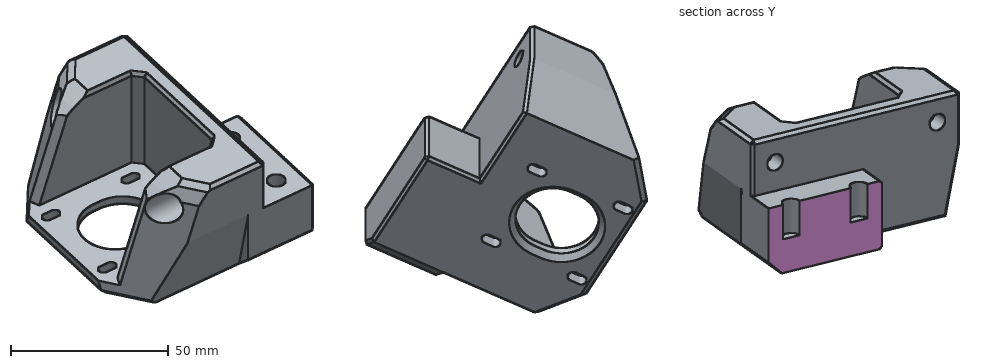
import cadquery as cq
import math

WIDTH = 77.0
DEPTH = 70.5
HEIGHT = 43.0
HALF_WIDTH = WIDTH / 2
FAR = 154.0

HOUSING_DEPTH = 51.3
TAPER_HEIGHT = 24.0
TAPER_INSET = 5.0
EDGE_CHAMFER = 1.0
TOP_CHAMFER_WIDTH = 1.55
BOTTOM_BEVEL = 2.0

CORNER_SLOPE = 0.75
CORNER_BASE = (12.85, 0)
CORNER_SHOULDER = (25.4, 37.4)
CORNER_BROW = (28.8, 41.5)
CORNER_TOP = (31.95, HEIGHT)
CORNER_LEAN = (CORNER_SHOULDER[0] - CORNER_BASE[0]) / (CORNER_SHOULDER[1] - CORNER_BASE[1])
BROW_TOP = (25.2, HEIGHT)
BROW_KINK = (18.9, 39.1)
BROW_END = (14.7, 36.1)

BASE_THICKNESS = 5.0
POCKET_HALF_WIDTH = 21.5
POCKET_BACK = 44.6
POCKET_CORNER = 3.0
FLARE_WIDTH = 0.9
FLARE_HEIGHT = 1.5
WALL_BEVEL_Y = 5.7
WALL_BEVEL_SLOPE = 0.41
WALL_BEVEL_KINK_Z = 37.2
WALL_BEVEL_TOP_LEAN = 1.1

MOTOR_Y = 21.5
MOTOR_PITCH = 30.95
MOTOR_SLOT_WIDTH = 3.4
MOTOR_OPENING_DIAMETER = 23.9
MOTOR_TRAVEL = 3.0

MOUNT_X = 29.95
MOUNT_Z = 34.0
MOUNT_DIAMETER = 5.7
COUNTERBORE_DIAMETER = 10.0
COUNTERBORE_FLOOR_Y = POCKET_BACK

BLOCK_LEFT = -3.55
BLOCK_HEIGHT = TAPER_HEIGHT
BLOCK_SIDE_BEVEL = 5.0
BLOCK_HOLE_DIAMETER = 6.0
BLOCK_HOLE_DEPTH = 12.0
BLOCK_HOLE_XS = (5.0, 30.0)
BLOCK_HOLE_Y = 61.5


def half_space(point, normal):
    """Large solid lying on the side of a plane that its normal points to."""
    return cq.Workplane(cq.Plane(origin=point, normal=normal)).rect(FAR, FAR).extrude(FAR)


def face_cutter(start, end, slope=0.0, side=1):
    """Material in front of the face through two (y, z) points at x = side * HALF_WIDTH.

    The face also runs back by `slope` for each unit away from the centre plane.
    """
    lean = (end[0] - start[0]) / (end[1] - start[1])
    return half_space((side * HALF_WIDTH, start[0], start[1]), (side * slope, -1, lean))


def make_housing():
    top_chamfer_z = HEIGHT - EDGE_CHAMFER
    section = [
        (HALF_WIDTH - TAPER_INSET, 0),
        (HALF_WIDTH, TAPER_HEIGHT),
        (HALF_WIDTH, top_chamfer_z),
        (HALF_WIDTH - TOP_CHAMFER_WIDTH, HEIGHT),
    ]
    section += [(-x, z) for x, z in reversed(section)]
    body = cq.Workplane("XZ").polyline(section).close().extrude(-HOUSING_DEPTH)

    profile = [
        (BOTTOM_BEVEL, 0),
        (0, BOTTOM_BEVEL),
        (0, HEIGHT),
        (HOUSING_DEPTH - TOP_CHAMFER_WIDTH, HEIGHT),
        (HOUSING_DEPTH, top_chamfer_z),
        (HOUSING_DEPTH, EDGE_CHAMFER),
        (HOUSING_DEPTH - EDGE_CHAMFER, 0),
    ]
    body = body.intersect(cq.Workplane("YZ").polyline(profile).close().extrude(HALF_WIDTH, both=True))

    for side in (-1, 1):
        rear_corner = (side * HALF_WIDTH, HOUSING_DEPTH - EDGE_CHAMFER, TAPER_HEIGHT)
        body = body.cut(half_space(rear_corner, (side, 1, 0)))
        body = body.cut(half_space(rear_corner, (side, 1, -TAPER_INSET / TAPER_HEIGHT)))
        top_corner = (side * HALF_WIDTH, HOUSING_DEPTH - EDGE_CHAMFER, top_chamfer_z)
        facet_lean = (2 * TOP_CHAMFER_WIDTH - EDGE_CHAMFER) / EDGE_CHAMFER
        body = body.cut(half_space(top_corner, (side, 1, facet_lean)))
    return body


def cut_front_corners(body):
    bevel_top_y = CORNER_BASE[0] + CORNER_LEAN * BOTTOM_BEVEL
    bevel_top = (bevel_top_y, BOTTOM_BEVEL)
    bevel_bottom = (bevel_top_y + BOTTOM_BEVEL, 0)
    corner = [bevel_bottom, bevel_top, CORNER_SHOULDER, CORNER_BROW, CORNER_TOP]
    for side in (-1, 1):
        for start, end in zip(corner, corner[1:]):
            body = body.cut(face_cutter(start, end, CORNER_SLOPE, side))
    for start, end in ((BROW_END, BROW_KINK), (BROW_KINK, BROW_TOP)):
        body = body.cut(face_cutter(start, end))
    return body


def cut_pocket(body):
    side_end = POCKET_BACK - POCKET_CORNER
    outline = [
        (POCKET_HALF_WIDTH, -FAR),
        (POCKET_HALF_WIDTH, side_end),
        (POCKET_HALF_WIDTH - POCKET_CORNER, POCKET_BACK),
    ]
    outline += [(-x, y) for x, y in reversed(outline)]
    flare_z = HEIGHT - FLARE_HEIGHT
    flare_angle = math.degrees(math.atan2(FLARE_WIDTH, FLARE_HEIGHT))
    room = cq.Workplane("XY", origin=(0, 0, BASE_THICKNESS)).polyline(outline).close().extrude(HEIGHT)
    flare = (
        cq.Workplane("XY", origin=(0, 0, flare_z))
        .polyline(outline)
        .close()
        .extrude(FLARE_HEIGHT, taper=-flare_angle)
    )
    return body.cut(room).cut(flare)


def bevel_wall_edges(body):
    kink_y = WALL_BEVEL_Y + CORNER_LEAN * (WALL_BEVEL_KINK_Z - BASE_THICKNESS)
    for side in (-1, 1):
        wall_zone = cq.Workplane("XY", origin=(side * HALF_WIDTH / 2, 0, BASE_THICKNESS))
        wall_zone = wall_zone.box(HALF_WIDTH, FAR, HEIGHT, centered=(True, True, False))
        kink = (side * POCKET_HALF_WIDTH, kink_y, WALL_BEVEL_KINK_Z)
        for lean in (CORNER_LEAN, WALL_BEVEL_TOP_LEAN):
            bevel = half_space(kink, (-side * WALL_BEVEL_SLOPE, -1, lean))
            body = body.cut(bevel.intersect(wall_zone))
    return body


def cut_motor_openings(body):
    lead_in_diameter = MOTOR_OPENING_DIAMETER + 2 * BOTTOM_BEVEL
    plate = cq.Workplane("XY", origin=(0, MOTOR_Y, 0))
    slots = (
        plate.rect(MOTOR_PITCH, MOTOR_PITCH, forConstruction=True)
        .vertices()
        .slot2D(MOTOR_SLOT_WIDTH + MOTOR_TRAVEL, MOTOR_SLOT_WIDTH, 90)
        .extrude(BASE_THICKNESS)
    )
    opening = plate.slot2D(MOTOR_OPENING_DIAMETER + MOTOR_TRAVEL, MOTOR_OPENING_DIAMETER, 90)
    opening = opening.extrude(BASE_THICKNESS)
    lead_in = plate.slot2D(lead_in_diameter + MOTOR_TRAVEL, lead_in_diameter, 90)
    lead_in = lead_in.extrude(BOTTOM_BEVEL, taper=45)
    return body.cut(slots).cut(opening).cut(lead_in)


def cut_mounting_holes(body):
    for x in (-MOUNT_X, MOUNT_X):
        axis = cq.Workplane("XZ", origin=(x, 0, MOUNT_Z))
        body = body.cut(axis.circle(MOUNT_DIAMETER / 2).extrude(-HOUSING_DEPTH))
        body = body.cut(axis.circle(COUNTERBORE_DIAMETER / 2).extrude(-COUNTERBORE_FLOOR_Y))
    return body


def make_rear_block():
    section = [
        (BLOCK_LEFT + EDGE_CHAMFER, 0),
        (HALF_WIDTH - BLOCK_SIDE_BEVEL, 0),
        (HALF_WIDTH, BLOCK_SIDE_BEVEL),
        (HALF_WIDTH, BLOCK_HEIGHT),
        (BLOCK_LEFT + EDGE_CHAMFER, BLOCK_HEIGHT),
        (BLOCK_LEFT, BLOCK_HEIGHT - EDGE_CHAMFER),
        (BLOCK_LEFT, EDGE_CHAMFER),
    ]
    block = (
        cq.Workplane("XZ", origin=(0, POCKET_BACK, 0))
        .polyline(section)
        .close()
        .extrude(POCKET_BACK - DEPTH)
        .faces(">Y")
        .chamfer(EDGE_CHAMFER)
    )
    holes = (
        cq.Workplane("XY", origin=(0, BLOCK_HOLE_Y, BLOCK_HEIGHT))
        .pushPoints([(x, 0) for x in BLOCK_HOLE_XS])
        .circle(BLOCK_HOLE_DIAMETER / 2)
        .extrude(-BLOCK_HOLE_DEPTH)
    )
    return block.cut(holes)


housing = cut_front_corners(make_housing())
housing = bevel_wall_edges(cut_pocket(housing))
housing = cut_mounting_holes(cut_motor_openings(housing))
result = housing.union(make_rear_block())